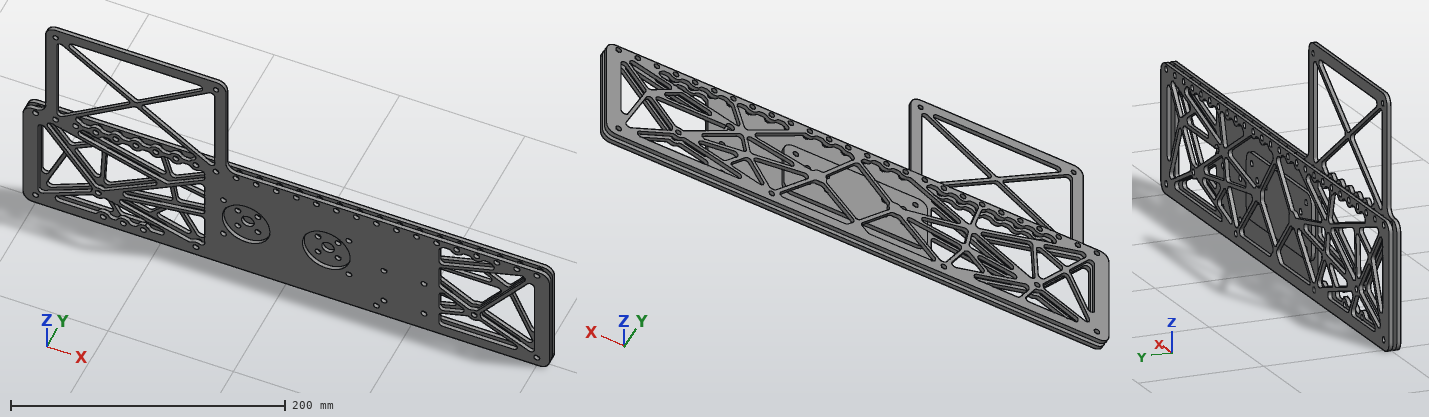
import cadquery as cq
import math


plate_length = 420.0
plate_height = 100.0
plate_thickness = 3.175
corner_radius = 8.0
end_rail = 12.0
bottom_rail = 9.0
top_bar = 4.0
top_row_z = plate_height - top_bar
bottom_row_z = corner_radius

opening_right = plate_length / 2 - end_rail
opening_left = -opening_right
opening_bottom = bottom_rail
opening_top = top_row_z - top_bar / 2

total_height = 192.0
tower_left = -192.0
tower_right = -48.0
tower_rail = 9.0
tower_hole_left = tower_left + corner_radius
tower_hole_right = tower_right - corner_radius
tower_hole_z = total_height - corner_radius

panel_left = -65.0
panel_right = 122.0

screw_hole = 4.5
tower_hole = 4.0
shaft_hole = 10.0
motor_opening = 38.0

row_pitch = 16.0
row_count = 26
row_end_x = row_pitch * (row_count - 1) / 2
top_row = [(row_pitch * i - row_end_x, top_row_z) for i in range(row_count)]

foot_x = 72.0
bottom_holes = [(x, bottom_row_z) for x in (-row_end_x, -foot_x, foot_x, row_end_x)]
short_row_start = -146.0
short_row_count = 3
short_row = [(short_row_start + row_pitch * i, bottom_row_z) for i in range(short_row_count)]
tower_holes = [(x, tower_hole_z) for x in (tower_hole_left, tower_hole_right)]

hub_x = 150.0
hub_z = 32.0
hubs = [(-hub_x, hub_z), (hub_x, hub_z)]

square_x = 78.0
square_z = 16.0
square_pitch = 32.0
square_holes = [
    (square_x + square_pitch * i, square_z + square_pitch * j)
    for i in (0, 1)
    for j in (0, 1)
]

motor_x = 32.0
motor_z = 50.0
motor_bolt_offset = 8.0
motors = [(-motor_x, motor_z), (motor_x, motor_z)]
motor_bolts = [
    (x + motor_bolt_offset * i, z + motor_bolt_offset * j)
    for x, z in motors
    for i in (-1, 1)
    for j in (-1, 1)
]

adapter_length = 120.0
adapter_height = 52.0
adapter_thickness = 3.0
adapter_hole_x = 50.0
adapter_hole_rise = 18.0
adapter_holes = [
    (adapter_hole_x * i, motor_z + adapter_hole_rise * j)
    for i in (-1, 1)
    for j in (-1, 1)
]

front_y = 0.0
adapter_y = front_y + plate_thickness
back_y = adapter_y + adapter_thickness

strut_width = 3.0
window_radius = 3.0
row_boss_radius = 5.25
hub_boss_radius = 5.25
motor_pad_radius = 6.0


def point_on(strut_ends, x):
    """Point at the given x on the line through two (x, z) points."""
    (x0, z0), (x1, z1) = strut_ends
    return (x, z0 + (z1 - z0) * (x - x0) / (x1 - x0))


def mirrored(struts):
    """Struts reflected to the other side of the plane X = 0."""
    return [((-x0, z0), (-x1, z1)) for (x0, z0), (x1, z1) in struts]


hub = hubs[0]
motor = motors[0]
end_top = (-row_end_x, top_row_z)
end_bottom = (-row_end_x, bottom_row_z)
foot = (-foot_x, bottom_row_z)
ridge_node = (-95.0, 64.0)

brace = (end_top, hub)
end_tie = (end_bottom, hub)
riser = (hub, (-40.0, top_row_z))
foot_tie = (hub, foot)
arm = (hub, motor)
ridge = (end_top, ridge_node)
ridge_inner = (ridge_node, motor)

brace_middle = ((end_top[0] + hub[0]) / 2, (end_top[1] + hub[1]) / 2)
ridge_rib_node = point_on(ridge, -147.5)
arm_node = point_on(arm, -91.0)
foot_tie_node = point_on(foot_tie, -111.0)
cross_x = 8.0

main_struts = [brace, end_tie, riser, foot_tie, ridge]
front_left_struts = main_struts + [arm]
front_right_struts = mirrored(main_struts + [ridge_inner])

back_half_struts = main_struts + [
    arm,
    ridge_inner,
    (end_bottom, brace_middle),
    (brace_middle, ridge_rib_node),
    ((-104.0, top_row_z), ridge_node),
    (ridge_node, arm_node),
    (arm_node, foot_tie_node),
    (arm_node, foot),
    (foot, motor),
    (motor, (cross_x, top_row_z)),
    (motor, (cross_x, bottom_row_z)),
]
left_rib = (hub, ridge_rib_node)
left_leg = (hub, (-136.0, bottom_row_z))
right_rail = ((panel_right - end_rail, brace_middle[1]), (-brace_middle[0], brace_middle[1]))
back_struts = back_half_struts + mirrored(back_half_struts) + [left_rib, left_leg, right_rail]

tower_struts = [
    ((tower_hole_left, top_row_z), (tower_hole_right, tower_hole_z)),
    ((tower_hole_right, top_row_z), (tower_hole_left, tower_hole_z)),
]

row_bosses = (top_row + bottom_holes, row_boss_radius)
hub_bosses = (hubs, hub_boss_radius)
short_row_bosses = (short_row, row_boss_radius)
motor_pads = (motors, motor_pad_radius)


def block(left, right, bottom, top, y, depth):
    """Box spanning left..right in X and bottom..top in Z, its front face at y."""
    box = cq.Workplane("XY").box(right - left, depth, top - bottom, centered=False)
    return box.translate((left, y, bottom))


def discs(centres, diameter, y, depth):
    """Cylinders along Y at the (x, z) centres."""
    plane = cq.Workplane("XZ", origin=(0, y, 0))
    return plane.pushPoints(centres).circle(diameter / 2).extrude(-depth)


def strut_bar(start, end, y, depth):
    """Straight bar between two (x, z) points."""
    run = end[0] - start[0]
    rise = end[1] - start[1]
    bar = cq.Workplane("XY").box(math.hypot(run, rise), depth, strut_width, centered=(False, False, True))
    bar = bar.rotate((0, 0, 0), (0, 1, 0), -math.degrees(math.atan2(rise, run)))
    return bar.translate((start[0], y, start[1]))


def windows(opening, struts, bosses, y):
    """Cutters for the gaps that struts and bosses leave in an opening, corners rounded.

    Shrinking an outline and growing it back by the same radius rounds its corners.
    """
    material = [strut_bar(start, end, y, plate_thickness).val() for start, end in struts]
    for centres, radius in bosses:
        material += discs(centres, 2 * radius, y, plate_thickness).vals()
    gaps = opening.val().cut(*material).Solids()

    through = cq.Vector(0, plate_thickness, 0)
    cutters = []
    for gap in gaps:
        outline = cq.Workplane(gap).faces("<Y").val().outerWire()
        for core in outline.offset2D(-window_radius):
            for rim in core.offset2D(window_radius):
                cutters.append(cq.Solid.extrudeLinear(rim, [], through))
    return cutters


def plate_blank(y):
    """Long plate with rounded corners."""
    blank = block(-plate_length / 2, plate_length / 2, 0, plate_height, y, plate_thickness)
    return blank.edges("|Y").fillet(corner_radius)


def front_blank():
    """Long plate with the tower standing on it."""
    tower = block(tower_left, tower_right, top_row_z, total_height, front_y, plate_thickness)
    tower = tower.edges("|Y and >Z").fillet(corner_radius)
    blank = plate_blank(front_y).union(tower)
    tower_foot = cq.selectors.BoxSelector(
        (tower_left - 1, front_y - 1, plate_height - 1),
        (tower_right + 1, front_y + plate_thickness + 1, plate_height + 1),
    )
    return blank.edges("|Y").edges(tower_foot).fillet(corner_radius)


def front_windows():
    y = front_y
    t = plate_thickness
    left = block(opening_left, panel_left, opening_bottom, opening_top, y, t)
    right = block(panel_right, opening_right, opening_bottom, opening_top, y, t)
    tower = block(
        tower_left + tower_rail,
        tower_right - tower_rail,
        top_row_z + top_bar / 2,
        total_height - tower_rail,
        y,
        t,
    )
    cutters = windows(left, front_left_struts, [row_bosses, hub_bosses, short_row_bosses], y)
    cutters += windows(right, front_right_struts, [row_bosses, hub_bosses], y)
    cutters += windows(tower, tower_struts, [row_bosses], y)
    return cutters


def front_plate():
    y = front_y
    t = plate_thickness
    screw_holes = top_row + bottom_holes + short_row + hubs + square_holes + adapter_holes
    plate = cq.Workplane(front_blank().val().cut(*front_windows()))
    plate = plate.cut(discs(screw_holes, screw_hole, y, t))
    plate = plate.cut(discs(tower_holes, tower_hole, y, t))
    return plate.cut(discs(motors, motor_opening, y, t))


def adapter_plate():
    y = adapter_y
    t = adapter_thickness
    half_length = adapter_length / 2
    half_height = adapter_height / 2
    plate = block(-half_length, half_length, motor_z - half_height, motor_z + half_height, y, t)
    plate = plate.edges("|Y").fillet(corner_radius)
    plate = plate.cut(discs(motor_bolts + adapter_holes, screw_hole, y, t))
    return plate.cut(discs(motors, shaft_hole, y, t))


def back_plate():
    y = back_y
    t = plate_thickness
    opening = block(opening_left, opening_right, opening_bottom, opening_top, y, t)
    cutters = windows(opening, back_struts, [row_bosses, hub_bosses, motor_pads], y)
    plate = cq.Workplane(plate_blank(y).val().cut(*cutters))
    return plate.cut(discs(top_row + bottom_holes + hubs, screw_hole, y, t))


front = front_plate().solids()
adapter = adapter_plate().solids()
back = back_plate().solids()
result = cq.Compound.makeCompound([front.val(), adapter.val(), back.val()])